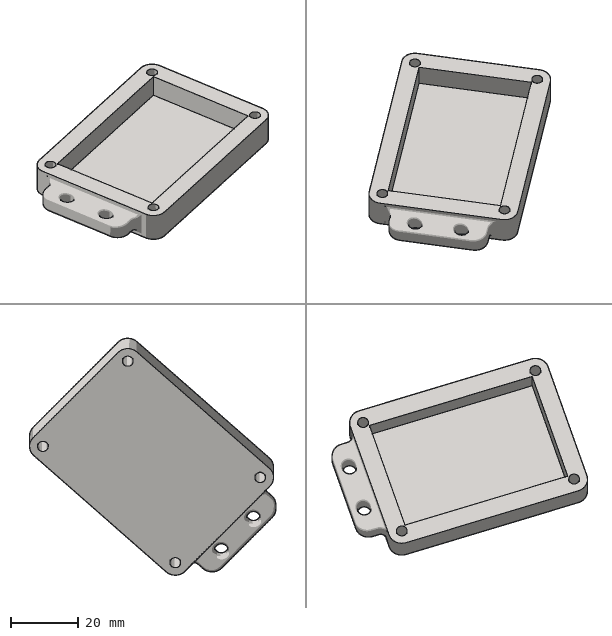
import cadquery as cq

BODY_WIDTH = 45.0
BODY_LENGTH = 62.0
BODY_HEIGHT = 9.0
BODY_CORNER_RADIUS = 4.0

WALL = 5.5
FLOOR = 2.0

SCREW_DIAMETER = 3.2

TAB_WIDTH = 30.0
TAB_LENGTH = 8.0
TAB_THICKNESS = 5.0
TAB_CORNER_RADIUS = 4.0
TAB_EDGE_RADIUS = 1.0
SIDE_ROOT_RADIUS = 2.0
FACE_ROOT_RADIUS = 1.0
ROOT_EMBED = 1.0
TAB_HOLE_DIAMETER = 4.0
TAB_HOLE_SPACING = 14.0
TAB_HOLE_EDGE_RADIUS = 1.0

END_Y = -BODY_LENGTH / 2
TAB_BOTTOM = (BODY_HEIGHT - TAB_THICKNESS) / 2
TAB_TOP = TAB_BOTTOM + TAB_THICKNESS


def make_body():
    """Rounded block with a pocket and four through holes."""
    body = cq.Workplane("XY").rect(BODY_WIDTH, BODY_LENGTH).extrude(BODY_HEIGHT)
    body = body.edges("|Z").fillet(BODY_CORNER_RADIUS)
    pocket = (
        cq.Workplane("XY")
        .workplane(offset=FLOOR)
        .rect(BODY_WIDTH - 2 * WALL, BODY_LENGTH - 2 * WALL)
        .extrude(BODY_HEIGHT - FLOOR)
    )
    screw_holes = (
        cq.Workplane("XY")
        .rect(
            BODY_WIDTH - 2 * BODY_CORNER_RADIUS,
            BODY_LENGTH - 2 * BODY_CORNER_RADIUS,
            forConstruction=True,
        )
        .vertices()
        .circle(SCREW_DIAMETER / 2)
        .extrude(BODY_HEIGHT)
    )
    return body.cut(pocket).cut(screw_holes)


def make_tab_outline():
    """Plan shape of the tab: rounded outer corners and concave flares at the wall."""
    half_width = TAB_WIDTH / 2
    flare_width = half_width + SIDE_ROOT_RADIUS
    tip_y = END_Y - TAB_LENGTH
    back_y = END_Y + ROOT_EMBED
    return (
        cq.Workplane("XY")
        .moveTo(-flare_width, back_y)
        .lineTo(-flare_width, END_Y)
        .radiusArc((-half_width, END_Y - SIDE_ROOT_RADIUS), SIDE_ROOT_RADIUS)
        .lineTo(-half_width, tip_y + TAB_CORNER_RADIUS)
        .radiusArc((-half_width + TAB_CORNER_RADIUS, tip_y), -TAB_CORNER_RADIUS)
        .lineTo(half_width - TAB_CORNER_RADIUS, tip_y)
        .radiusArc((half_width, tip_y + TAB_CORNER_RADIUS), -TAB_CORNER_RADIUS)
        .lineTo(half_width, END_Y - SIDE_ROOT_RADIUS)
        .radiusArc((flare_width, END_Y), SIDE_ROOT_RADIUS)
        .lineTo(flare_width, back_y)
        .close()
        .extrude(BODY_HEIGHT)
    )


def make_tab_section():
    """Side shape of the tab: constant thickness with concave flares at the wall."""
    flare_bottom = TAB_BOTTOM - FACE_ROOT_RADIUS
    flare_top = TAB_TOP + FACE_ROOT_RADIUS
    tip_y = END_Y - TAB_LENGTH
    back_y = END_Y + ROOT_EMBED
    flare_half_width = TAB_WIDTH / 2 + SIDE_ROOT_RADIUS
    return (
        cq.Workplane("YZ")
        .moveTo(back_y, flare_bottom)
        .lineTo(END_Y, flare_bottom)
        .radiusArc((END_Y - FACE_ROOT_RADIUS, TAB_BOTTOM), -FACE_ROOT_RADIUS)
        .lineTo(tip_y, TAB_BOTTOM)
        .lineTo(tip_y, TAB_TOP)
        .lineTo(END_Y - FACE_ROOT_RADIUS, TAB_TOP)
        .radiusArc((END_Y, flare_top), -FACE_ROOT_RADIUS)
        .lineTo(back_y, flare_top)
        .close()
        .extrude(flare_half_width, both=True)
    )


def make_hole_cutter():
    """Round cutter on the Z axis that flares out with a convex rim at both tab faces."""
    bore_radius = TAB_HOLE_DIAMETER / 2
    rim_radius = bore_radius + TAB_HOLE_EDGE_RADIUS
    return (
        cq.Workplane("XZ")
        .moveTo(0, TAB_BOTTOM)
        .lineTo(rim_radius, TAB_BOTTOM)
        .radiusArc((bore_radius, TAB_BOTTOM + TAB_HOLE_EDGE_RADIUS), TAB_HOLE_EDGE_RADIUS)
        .lineTo(bore_radius, TAB_TOP - TAB_HOLE_EDGE_RADIUS)
        .radiusArc((rim_radius, TAB_TOP), TAB_HOLE_EDGE_RADIUS)
        .lineTo(0, TAB_TOP)
        .close()
        .revolve()
    )


def make_tab():
    """Tab with mitred root flares, rounded edges and two holes with rounded rims."""
    tab = make_tab_outline().intersect(make_tab_section())

    tab = tab.edges("|X and <Y").fillet(TAB_EDGE_RADIUS)

    hole_y = END_Y - TAB_LENGTH / 2
    for hole_x in (-TAB_HOLE_SPACING / 2, TAB_HOLE_SPACING / 2):
        tab = tab.cut(make_hole_cutter().translate((hole_x, hole_y, 0)))
    return tab


result = make_body().union(make_tab())